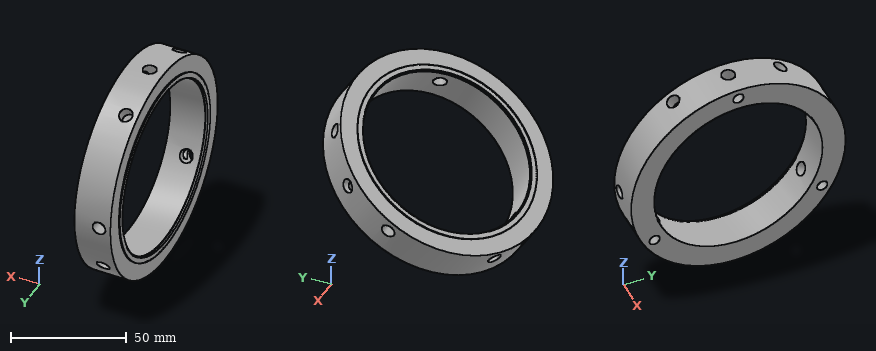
import cadquery as cq
import math

outer_diameter = 102.0
bore_diameter = 80.0
total_width = 18.0

lip_diameter = 86.0
lip_height = 0.5
recess_diameter = 81.0
recess_depth = 1.0

hole_diameter = 6.1
blind_hole_x = 6.0
blind_hole_depth = 6.0
blind_hole_count = 6
drill_point_angle = 118.0
through_hole_x = 7.4
through_hole_count = 3
through_hole_first_angle = 90.0

axial_hole_diameter = 4.9
axial_hole_pitch_radius = 46.0

outer_radius = outer_diameter / 2
hole_radius = hole_diameter / 2
wall_thickness = (outer_diameter - bore_diameter) / 2
drill_point_height = hole_radius / math.tan(math.radians(drill_point_angle / 2))
cutter_overshoot = 1.0


def cylinder_along_x(diameter, start_x, end_x):
    return cq.Workplane("YZ").workplane(offset=start_x).circle(diameter / 2).extrude(end_x - start_x)


def ring_with_lip():
    body = cylinder_along_x(outer_diameter, lip_height, total_width)
    lip = cylinder_along_x(lip_diameter, 0, total_width)
    bore = cylinder_along_x(bore_diameter, 0, total_width)
    recess = cylinder_along_x(recess_diameter, 0, recess_depth)
    return body.union(lip).cut(bore).cut(recess)


def hole_cutter(x, depth, point_height):
    """Cutter pointing inwards along -Y, drawn as a half profile and revolved about its axis."""
    floor_y = outer_radius - depth
    mouth_y = outer_radius + cutter_overshoot
    profile = cq.Workplane("XY").moveTo(x, mouth_y).lineTo(x + hole_radius, mouth_y)
    profile = profile.lineTo(x + hole_radius, floor_y).lineTo(x, floor_y - point_height).close()
    return profile.revolve(360, (x, 0, 0), (x, 1, 0))


def cut_around_ring(part, cutter, count, first_angle):
    for index in range(count):
        angle = first_angle + index * 360 / count
        part = part.cut(cutter.rotate((0, 0, 0), (1, 0, 0), angle))
    return part


blind_hole = hole_cutter(blind_hole_x, blind_hole_depth, drill_point_height)
through_hole = hole_cutter(through_hole_x, wall_thickness + cutter_overshoot, 0)
axial_hole = cylinder_along_x(axial_hole_diameter, through_hole_x, total_width)
axial_hole = axial_hole.translate((0, axial_hole_pitch_radius, 0))

result = ring_with_lip()
result = cut_around_ring(result, blind_hole, blind_hole_count, 0)
result = cut_around_ring(result, through_hole, through_hole_count, through_hole_first_angle)
result = cut_around_ring(result, axial_hole, through_hole_count, through_hole_first_angle)